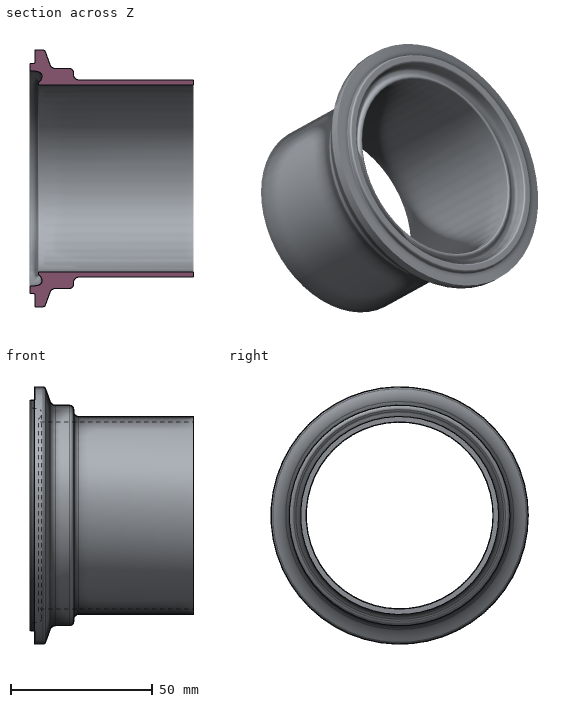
import cadquery as cq
import math

total_length = 58.0
flange_radius = 45.5
lip_radius = 81.6 / 2
neck_radius = 78.0 / 2
tube_radius = 70.0 / 2
bore_radius = 66.0 / 2

flange_front = 1.7
flange_rim_end = 4.6
shoulder = 15.6

lip_round = 0.55
lip_root_fillet = 0.32
flange_slope = 20.0
flange_round = 1.0
flange_root_fillet = 2.0
shoulder_round = 1.55
tube_fillet = 1.7

groove_outer_radius = 37.95
groove_mouth_round = 0.6
groove_depth = 4.2
groove_bottom_radius = 36.4
rim_front = 3.0
rim_bore_round = 0.5
rim_groove_round = 1.2
rim_land = 0.1
rim_slope = 35.0


def direction(angle):
    """Unit vector (x, r) at an angle in degrees, counted from +X towards +r."""
    return (math.cos(math.radians(angle)), math.sin(math.radians(angle)))


def arc_point(center, radius, angle):
    """Point (x, r) on a circle."""
    axial, radial = direction(angle)
    return (center[0] + radius * axial, center[1] + radius * radial)


def arc_points(center, radius, start, end):
    """Start, middle and end point of a circular arc (angles in degrees)."""
    angles = (start, (start + end) / 2, end)
    return [arc_point(center, radius, angle) for angle in angles]


def add_arc(profile, center, radius, start, end):
    """Run straight to the start of a circular arc, then follow it to its end."""
    first, middle, last = arc_points(center, radius, start, end)
    return profile.lineTo(*first).threePointArc(middle, last)


lip_center = (lip_round, lip_radius - lip_round)
lip_root_center = (flange_front - lip_root_fillet, lip_radius + lip_root_fillet)
flange_center = (flange_rim_end, flange_radius - flange_round)
root_center_radius = neck_radius + flange_root_fillet
slope_angle = math.radians(flange_slope)
root_center_x = (
    flange_rim_end
    + (flange_round + flange_root_fillet) / math.cos(slope_angle)
    + (flange_center[1] - root_center_radius) * math.tan(slope_angle)
)
root_center = (root_center_x, root_center_radius)
shoulder_center = (shoulder - shoulder_round, neck_radius - shoulder_round)
tube_fillet_center = (shoulder + tube_fillet, tube_radius + tube_fillet)

rim_bore_center = (rim_front + rim_bore_round, bore_radius + rim_bore_round)
rim_groove_center = (rim_front + rim_groove_round, rim_bore_center[1] + rim_land)
mouth_center = (groove_mouth_round, groove_outer_radius + groove_mouth_round)

profile = cq.Workplane("XY").moveTo(0, mouth_center[1])
profile = add_arc(profile, lip_center, lip_round, 180, 90)
profile = add_arc(profile, lip_root_center, lip_root_fillet, 270, 360)
profile = profile.lineTo(flange_front, flange_radius)
profile = add_arc(profile, flange_center, flange_round, 90, flange_slope)
profile = add_arc(profile, root_center, flange_root_fillet, 180 + flange_slope, 270)
profile = add_arc(profile, shoulder_center, shoulder_round, 90, 0)
profile = add_arc(profile, tube_fillet_center, tube_fillet, 180, 270)
profile = profile.lineTo(total_length, tube_radius).lineTo(total_length, bore_radius)
profile = add_arc(profile, rim_bore_center, rim_bore_round, 270, 180)
profile = add_arc(profile, rim_groove_center, rim_groove_round, 180, 90 + rim_slope)

mouth_start, mouth_middle, mouth_end = arc_points(mouth_center, groove_mouth_round, 270, 180)
profile = profile.spline(
    [(groove_depth, groove_bottom_radius), mouth_start],
    tangents=[direction(rim_slope), direction(90), direction(180)],
    includeCurrent=True,
)
profile = profile.threePointArc(mouth_middle, mouth_end)

result = profile.close().revolve(360, (0, 0, 0), (1, 0, 0))